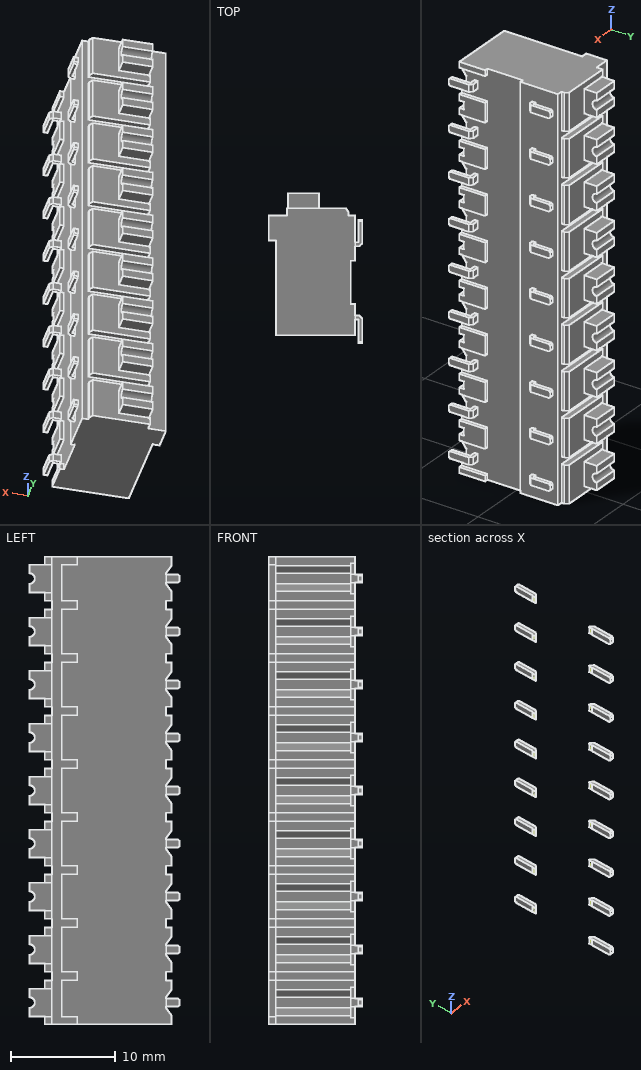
import cadquery as cq

POLES = 9
PITCH = 5.08
LENGTH = 44.84
WIDTH = 9.0
DEPTH = 14.38
FIRST_POLE_INSET = (LENGTH - (POLES - 1) * PITCH) / 2

X_MIN = -WIDTH / 2
X_MAX = WIDTH / 2
Y_MIN = -DEPTH / 2
Y_MAX = DEPTH / 2
Z_TOP = LENGTH / 2
POLE_CENTERS = [Z_TOP - FIRST_POLE_INSET - i * PITCH for i in range(POLES)]
GAP_CENTERS = [z - PITCH / 2 for z in POLE_CENTERS[:-1]]

FLANGE_PROJECTION = 0.7
BODY_LEFT = X_MIN + FLANGE_PROJECTION
BODY_RIGHT = X_MAX - 0.7
BODY_BOTTOM = Y_MIN + 0.75
SHOULDER_Y = Y_MAX - 2.14
LEDGE_HEIGHT = 0.7
LEDGE_TOP = SHOULDER_Y + LEDGE_HEIGHT
LEDGE_LEFT = X_MIN + 1.75
LEDGE_RIGHT = X_MAX - 1.32
LEDGE_CHAMFER_X = 0.26
LEDGE_CHAMFER_Y = 0.4
RECESS_DEPTH = 0.4
RECESS_TOP = Y_MAX - 6.5
RECESS_BOTTOM = Y_MAX - 10.62

RAIL_DEPTH = 0.93
LEG_DEPTH = 2.42

SLOT_WIDTH = 0.82
SLOT_DEPTH = 0.53
GROOVE_MOUTH = 2.48
GROOVE_FLOOR = 1.04
PIN_NOTCH_WIDTH = 2.9

TAB_WIDTH = 2.68
TAB_LEFT = X_MIN + 1.86
TAB_RIGHT = X_MIN + 4.84
TAB_NOTCH_WIDTH = 0.98
TAB_NOTCH_DEPTH = 0.5

PIN_WIDTH = 0.8
PIN_THICKNESS = 0.4
PIN_BEND_CHAMFER = 0.3
PIN_TIP_CHAMFER = 0.15
UPPER_PIN_FOOT = Y_MAX - 5.11
UPPER_PIN_TIP = Y_MAX - 2.54
LOWER_PIN_FOOT = Y_MAX - 11.72
LOWER_PIN_TIP = Y_MIN


def block(x0, x1, y0, y1, z0, z1):
    """Box given by its limits along the three axes."""
    return cq.Workplane("XY").box(x1 - x0, y1 - y0, z1 - z0, centered=False).translate((x0, y0, z0))


def centered_block(x0, x1, y0, y1, z_center, height):
    """Box given by its X and Y limits and its middle and height along Z."""
    return block(x0, x1, y0, y1, z_center - height / 2, z_center + height / 2)


def prism_along_x(outline, x0, x1):
    """Extrude an open (Y, Z) polyline, closed on itself, from x0 to x1."""
    return cq.Workplane("YZ").polyline(outline).close().extrude(x1 - x0).translate((x0, 0, 0))


def make_housing():
    outline = [
        (BODY_LEFT, BODY_BOTTOM),
        (BODY_RIGHT, BODY_BOTTOM),
        (BODY_RIGHT, RECESS_BOTTOM),
        (BODY_RIGHT - RECESS_DEPTH, RECESS_BOTTOM),
        (BODY_RIGHT - RECESS_DEPTH, RECESS_TOP),
        (BODY_RIGHT, RECESS_TOP),
        (BODY_RIGHT, SHOULDER_Y),
        (LEDGE_RIGHT, SHOULDER_Y),
        (LEDGE_RIGHT, LEDGE_TOP - LEDGE_CHAMFER_Y),
        (LEDGE_RIGHT - LEDGE_CHAMFER_X, LEDGE_TOP),
        (LEDGE_LEFT, LEDGE_TOP),
        (LEDGE_LEFT, SHOULDER_Y),
        (BODY_LEFT, SHOULDER_Y),
    ]
    return cq.Workplane("XY").polyline(outline).close().extrude(LENGTH).translate((0, 0, -Z_TOP))


def make_flange():
    """Rail along the housing with one leg between poles and one at each end."""
    rail = block(X_MIN, BODY_LEFT, SHOULDER_Y - RAIL_DEPTH, SHOULDER_Y, -Z_TOP, Z_TOP)
    leg_bottom = SHOULDER_Y - LEG_DEPTH
    for z in GAP_CENTERS:
        rail = rail.union(centered_block(X_MIN, BODY_LEFT, leg_bottom, SHOULDER_Y, z, SLOT_WIDTH))
    top_leg_start = POLE_CENTERS[0] + TAB_WIDTH / 2
    bottom_leg_end = POLE_CENTERS[-1] - TAB_WIDTH / 2
    rail = rail.union(block(X_MIN, BODY_LEFT, leg_bottom, SHOULDER_Y, top_leg_start, Z_TOP))
    return rail.union(block(X_MIN, BODY_LEFT, leg_bottom, SHOULDER_Y, -Z_TOP, bottom_leg_end))


def cut_gap_slots(body):
    """Square slots between neighbouring poles, in the ledge and in the -Y face."""
    for z in GAP_CENTERS:
        body = body.cut(centered_block(BODY_LEFT, BODY_RIGHT, SHOULDER_Y, LEDGE_TOP, z, SLOT_WIDTH))
        floor = BODY_BOTTOM + SLOT_DEPTH
        body = body.cut(centered_block(BODY_LEFT, BODY_RIGHT, BODY_BOTTOM, floor, z, SLOT_WIDTH))
    return body


def cut_pole_grooves(body):
    """At each pole: sloped groove in the -Y face, pin notch, and relief in front of the tab."""
    floor = BODY_BOTTOM + SLOT_DEPTH
    notch_left = BODY_RIGHT - RECESS_DEPTH
    for z in POLE_CENTERS:
        groove = [
            (BODY_BOTTOM, z - GROOVE_MOUTH / 2),
            (floor, z - GROOVE_FLOOR / 2),
            (floor, z + GROOVE_FLOOR / 2),
            (BODY_BOTTOM, z + GROOVE_MOUTH / 2),
        ]
        body = body.cut(prism_along_x(groove, BODY_LEFT, BODY_RIGHT))
        body = body.cut(
            centered_block(notch_left, BODY_RIGHT, BODY_BOTTOM, RECESS_BOTTOM, z, PIN_NOTCH_WIDTH)
        )
        body = body.cut(centered_block(LEDGE_LEFT, TAB_LEFT, SHOULDER_Y, LEDGE_TOP, z, TAB_WIDTH))
    return body


def make_tab(z):
    """Upright tab with a rounded notch in its free edge."""
    tab = centered_block(TAB_LEFT, TAB_RIGHT, SHOULDER_Y, Y_MAX, z, TAB_WIDTH)
    notch = (
        cq.Workplane("YZ")
        .moveTo(Y_MAX, z - TAB_NOTCH_WIDTH / 2)
        .threePointArc((Y_MAX - TAB_NOTCH_DEPTH, z), (Y_MAX, z + TAB_NOTCH_WIDTH / 2))
        .close()
        .extrude(TAB_RIGHT - TAB_LEFT)
        .translate((TAB_LEFT, 0, 0))
    )
    return tab.cut(notch)


def make_pin(z, foot, tip):
    """L-shaped pin leaving the housing at `foot` and bent along Y to `tip`."""
    direction = 1 if tip > foot else -1
    root = BODY_RIGHT - RECESS_DEPTH
    inner_x = X_MAX - PIN_THICKNESS
    outline = [
        (root, foot),
        (X_MAX - PIN_BEND_CHAMFER, foot),
        (X_MAX, foot + direction * PIN_BEND_CHAMFER),
        (X_MAX, tip),
        (inner_x, tip),
        (inner_x, foot + direction * PIN_THICKNESS),
        (root, foot + direction * PIN_THICKNESS),
    ]
    pin = cq.Workplane("XY").polyline(outline).close().extrude(PIN_WIDTH)
    tip_face = ">Y" if direction > 0 else "<Y"
    pin = pin.faces(tip_face).edges("|X").chamfer(PIN_TIP_CHAMFER)
    return pin.translate((0, 0, z - PIN_WIDTH / 2))


housing = cut_pole_grooves(cut_gap_slots(make_housing()))
result = housing.union(make_flange())
for pole_z in POLE_CENTERS:
    result = result.union(make_tab(pole_z))
    result = result.union(make_pin(pole_z, UPPER_PIN_FOOT, UPPER_PIN_TIP))
    result = result.union(make_pin(pole_z, LOWER_PIN_FOOT, LOWER_PIN_TIP))